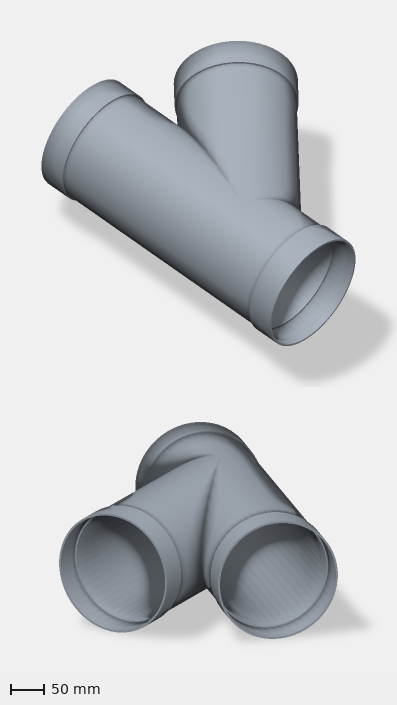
import cadquery as cq

run_length = 471.0
bore_diameter = 174.0
tube_diameter = 180.0
collar_diameter = 186.0
socket_diameter = tube_diameter
collar_length = 43.0
socket_depth = 41.5

branch_angle = 135.0
branch_length = 325.0
branch_offset = 90.0


def rod(diameter, start, end):
    """Solid cylinder along +X between two X positions."""
    return cq.Workplane("YZ", origin=(start, 0, 0)).circle(diameter / 2).extrude(end - start)


def place_branch(shape):
    """Turn a shape built along +X onto the branch axis."""
    return shape.rotate((0, 0, 0), (0, 0, 1), branch_angle).translate((branch_offset, 0, 0))


def run_shape(main_diameter, end_diameter, end_length):
    """Straight rod with a wider length at both ends."""
    half_length = run_length / 2
    shape = rod(main_diameter, -half_length, half_length)
    shape = shape.union(rod(end_diameter, -half_length, end_length - half_length))
    return shape.union(rod(end_diameter, half_length - end_length, half_length))


def branch_shape(main_diameter, end_diameter, end_length):
    """Angled rod with a wider length at its mouth."""
    shape = rod(main_diameter, 0, branch_length)
    shape = shape.union(rod(end_diameter, branch_length - end_length, branch_length))
    return place_branch(shape)


body = run_shape(tube_diameter, collar_diameter, collar_length)
body = body.union(branch_shape(tube_diameter, collar_diameter, collar_length))

result = body.cut(run_shape(bore_diameter, socket_diameter, socket_depth))
result = result.cut(branch_shape(bore_diameter, socket_diameter, socket_depth))